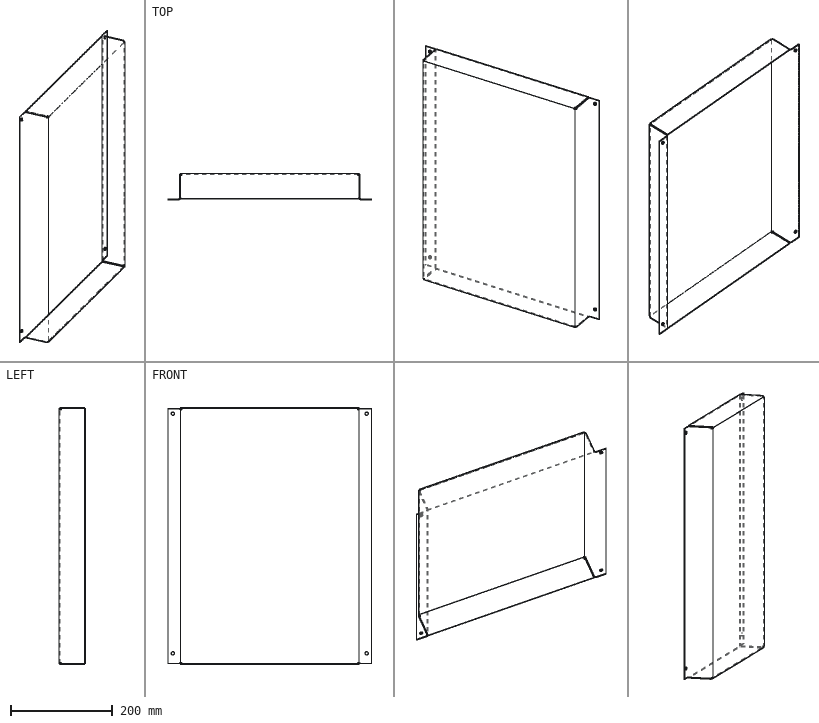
import cadquery as cq
import math

thickness = 2.0
inner_radius = 2.0
outer_radius = inner_radius + thickness

inside_width = 350.0
inside_height = 500.0
seam_gap = 0.1
overall_depth = 52.0

overall_width = 400.0
hole_diameter = 6.0
hole_edge_distance = 10.0
top_hole_distance = 10.0
bottom_hole_distance = 20.0

flange_edge_x = overall_width / 2
floor_y = overall_depth - thickness
end_wall_front_y = thickness
hole_x = flange_edge_x - hole_edge_distance
top_hole_z = inside_height / 2 - top_hole_distance
bottom_hole_z = bottom_hole_distance - inside_height / 2

back_angle = 45
front_angle = 225


def point_on_circle(center, radius, angle):
    """Point on a circle at the given angle in degrees."""
    turn = math.radians(angle)
    return (center[0] + radius * math.cos(turn), center[1] + radius * math.sin(turn))


def make_end_wall():
    """Half of the back panel (Z > 0) bent forward into the top end wall."""
    inner_z = inside_height / 2
    outer_z = inner_z + thickness
    bend = (floor_y - inner_radius, inner_z - inner_radius)
    profile = (
        cq.Workplane("YZ")
        .moveTo(floor_y, 0)
        .lineTo(floor_y, bend[1])
        .threePointArc(point_on_circle(bend, inner_radius, back_angle), (bend[0], inner_z))
        .lineTo(end_wall_front_y, inner_z)
        .lineTo(end_wall_front_y, outer_z)
        .lineTo(bend[0], outer_z)
        .threePointArc(point_on_circle(bend, outer_radius, back_angle), (overall_depth, bend[1]))
        .lineTo(overall_depth, 0)
        .close()
    )
    return profile.extrude(inside_width / 2 - seam_gap, both=True)


def make_side():
    """Half of the back panel (X > 0) with its side wall and flange."""
    inner_x = inside_width / 2
    outer_x = inner_x + thickness
    back_bend = (inner_x - inner_radius, floor_y - inner_radius)
    front_bend = (inner_x + outer_radius, outer_radius)
    profile = (
        cq.Workplane("XY")
        .moveTo(0, floor_y)
        .lineTo(back_bend[0], floor_y)
        .threePointArc(point_on_circle(back_bend, inner_radius, back_angle), (inner_x, back_bend[1]))
        .lineTo(inner_x, front_bend[1])
        .threePointArc(point_on_circle(front_bend, outer_radius, front_angle), (front_bend[0], 0))
        .lineTo(flange_edge_x, 0)
        .lineTo(flange_edge_x, thickness)
        .lineTo(front_bend[0], thickness)
        .threePointArc(point_on_circle(front_bend, inner_radius, front_angle), (outer_x, front_bend[1]))
        .lineTo(outer_x, back_bend[1])
        .threePointArc(point_on_circle(back_bend, outer_radius, back_angle), (back_bend[0], overall_depth))
        .lineTo(0, overall_depth)
        .close()
    )
    side = profile.extrude(inside_height / 2, both=True)
    holes = (
        cq.Workplane("XZ")
        .pushPoints([(hole_x, bottom_hole_z), (hole_x, top_hole_z)])
        .circle(hole_diameter / 2)
        .extrude(-thickness)
    )
    return side.cut(holes)


def make_corner_reliefs():
    """Square notches at the back corners, where the bends of neighbouring walls would meet."""
    notch = outer_radius
    corner_spacing_x = inside_width + 2 * thickness - notch
    corner_spacing_z = inside_height + 2 * thickness - notch
    return (
        cq.Workplane("XZ", origin=(0, overall_depth, 0))
        .rect(corner_spacing_x, corner_spacing_z, forConstruction=True)
        .vertices()
        .rect(notch, notch)
        .extrude(notch)
    )


side = make_side()
end_wall = make_end_wall()
tray = side.union(side.mirror("YZ")).union(end_wall).union(end_wall.mirror("XY"))
result = tray.cut(make_corner_reliefs())